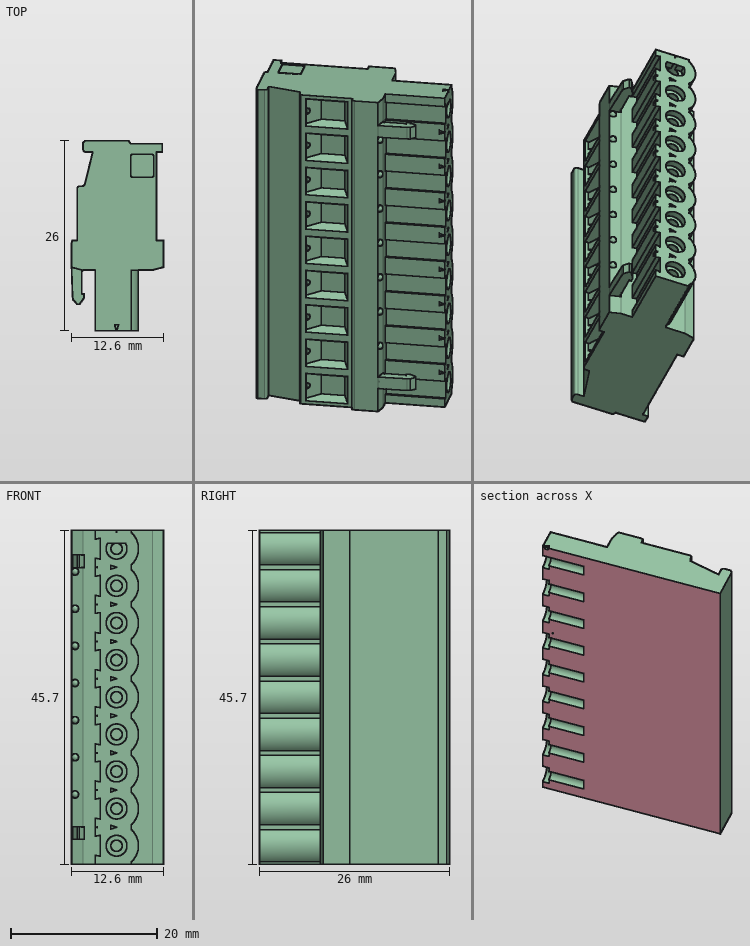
import cadquery as cq


pole_count = 9
pitch = 5.08
length = pole_count * pitch
pole_heights = [(i + 0.5) * pitch for i in range(pole_count)]
boundary_heights = [i * pitch for i in range(1, pole_count)]

width = 12.6
collar_top = 12.35
collar_bottom = 8.28
collar_slope_run = 1.55
collar_slope_rise = 0.37
collar_edge = 0.13
slope_top = collar_bottom + collar_slope_rise
collar_edge_top = slope_top + collar_edge / 2
collar_top_bevel_x = 0.1
collar_top_bevel_y = 0.35

total_height = 26.0
body_left = 0.78
body_right = 11.65
shoulder_y = 19.78
shoulder_chamfer = 0.2
shoulder_fillet = 0.4
slope_foot_x = 1.75
slope_head_x = 2.9

rail_left = 1.57
rail_right = 12.45
rail_bottom = 24.45
rail_step_x = 8.1
rail_step_y = 25.6
rail_top_chamfer = 0.28
rail_lower_fillet = 0.4

plug_left = 3.25
plug_right = 8.2
plug_overlap = 1.0
socket_x = 6.17
lobe_radius = 3.0
groove_depth = 0.66
groove_mouth = 2.6
groove_floor = 2.85

socket_diameter = 2.85
socket_depth = 0.9
contact_diameter = 1.55
contact_depth = 6.0
end_socket_flat = 0.72

funnel_depth = 1.35
funnel_lower = 13.03
funnel_upper = 18.9
funnel_width = 4.05
seat_lower = 13.7
seat_upper = 16.97
seat_width = 2.8
ramp_start_depth = 0.45
dimple_radius = 0.45
dimple_depth = 0.9

latch_width = 1.72
latch_offset = 4.26
latch_inner_x = 1.42
latch_flare = 0.2
hook_outer_x = 0.13
hook_inner_x = 1.75
hook_bevel_top = 4.7
hook_bevel_bottom = 4.25
hook_bevel_x = 0.2
hook_ledge_y = 5.05
hook_flank_y = 4.5
hook_tip_y = 3.6
hook_tip_left = 0.8
hook_tip_right = 1.1

bump_radius = 0.5
bump_y = 8.6
bump_offset = 0.6
arrow_base_x = 5.35
arrow_base_y = 0.8
arrow_length = 0.85
arrow_half_height = 0.27
arrow_depth = 0.3
badge_size = 3.13
badge_x = 9.68
badge_y = 22.57
badge_corner = 0.25
badge_depth = 0.1


def make_housing():
    """Body, rail and collar as one extruded outline."""
    left_side = [
        (collar_slope_run, collar_bottom),
        (collar_edge, slope_top),
        (0, collar_edge_top),
        (0, collar_top - collar_top_bevel_y),
        (collar_top_bevel_x, collar_top),
        (body_left, collar_top),
        (body_left, shoulder_y - shoulder_chamfer),
        (body_left + shoulder_chamfer, shoulder_y),
        (slope_foot_x, shoulder_y),
        (slope_head_x, rail_bottom),
    ]
    rail = [
        (rail_left, rail_bottom),
        (rail_left, total_height - rail_top_chamfer),
        (rail_left + rail_top_chamfer, total_height),
        (rail_step_x - rail_top_chamfer, total_height),
        (rail_step_x, rail_step_y),
        (rail_right, rail_step_y),
        (rail_right, rail_bottom),
    ]
    right_side = [
        (body_right, rail_bottom),
        (body_right, collar_top),
        (width, collar_top),
        (width, collar_edge_top),
        (width - collar_edge, slope_top),
        (width - collar_slope_run, collar_bottom),
    ]
    housing = cq.Workplane("XY").polyline(left_side + rail + right_side).close().extrude(length)
    housing = round_edge(housing, slope_foot_x, shoulder_y, shoulder_fillet)
    return round_edge(housing, rail_left, rail_bottom, rail_lower_fillet)


def round_edge(body, x, y, radius):
    """Fillet the full-length edge parallel to Z at (x, y)."""
    edge = cq.selectors.NearestToPointSelector((x, y, length / 2))
    return body.edges(edge).fillet(radius)


def make_plug():
    """Plug bar with one round lobe per pole and a groove opposite each lobe."""
    plug_height = collar_bottom + plug_overlap
    plug = cq.Workplane("XY").box(plug_right - plug_left, plug_height, length, centered=False)
    plug = plug.translate((plug_left, 0, 0))
    for z in pole_heights:
        plug = plug.union(along_y(lobe_radius, plug_height, z))
    slab = cq.Workplane("XY").box(width, plug_height, length, centered=False)
    plug = plug.intersect(slab.translate((plug_left, 0, 0)))
    for z in pole_heights:
        plug = plug.cut(make_groove(z))
    return plug


def make_groove(z):
    """Dovetail groove along Y, wider at its floor than at its mouth."""
    floor_x = plug_left + groove_depth
    return (
        cq.Workplane("XZ", origin=(0, 0, z))
        .moveTo(plug_left, -groove_mouth / 2)
        .lineTo(floor_x, -groove_floor / 2)
        .lineTo(floor_x, groove_floor / 2)
        .lineTo(plug_left, groove_mouth / 2)
        .close()
        .extrude(-collar_bottom)
    )


def along_y(radius, height, z):
    """Cylinder on a socket axis, running from the mating face along +Y."""
    return cq.Workplane("XZ", origin=(socket_x, 0, z)).circle(radius).extrude(-height)


def make_socket(z):
    """Stepped contact hole; the one in the last pole has a flat on its +Z side."""
    bore = along_y(socket_diameter / 2, socket_depth, z)
    if z == pole_heights[-1]:
        below_flat = cq.Workplane("XY").box(
            socket_diameter, socket_depth, socket_diameter, centered=(True, False, False)
        )
        bore = bore.intersect(below_flat.translate((socket_x, 0, z + end_socket_flat - socket_diameter)))
    return bore.union(along_y(contact_diameter / 2, contact_depth, z))


def make_funnel(z):
    """Tapered wire entry with a ramp at its +Y end and a small dimple in the ramp."""
    mouth_length = funnel_upper - funnel_lower
    floor_length = funnel_upper - seat_lower
    mouth_middle = (funnel_upper + funnel_lower) / 2
    floor_middle = (funnel_upper + seat_lower) / 2
    funnel = (
        cq.Workplane("YZ", origin=(body_left, mouth_middle, z))
        .rect(mouth_length, funnel_width)
        .workplane(offset=funnel_depth)
        .center(floor_middle - mouth_middle, 0)
        .rect(floor_length, seat_width)
        .loft()
    )
    floor_x = body_left + funnel_depth
    ramp = (
        cq.Workplane("XY", origin=(0, 0, z - funnel_width / 2))
        .moveTo(body_left + ramp_start_depth, funnel_upper)
        .lineTo(floor_x, funnel_upper)
        .lineTo(floor_x, seat_upper)
        .close()
        .extrude(funnel_width)
    )
    dimple = (
        cq.Workplane("YZ", origin=(body_left, funnel_upper, z))
        .moveTo(0, dimple_radius)
        .threePointArc((-dimple_radius, 0), (0, -dimple_radius))
        .close()
        .extrude(dimple_depth)
    )
    return funnel.cut(ramp).union(dimple)


def make_latch(z):
    """Hooked latch finger hanging from the collar."""
    latch_root_x = latch_inner_x + latch_flare
    return (
        cq.Workplane("XY", origin=(0, 0, z - latch_width / 2))
        .moveTo(latch_root_x, collar_edge_top)
        .lineTo(0, collar_edge_top)
        .lineTo(hook_outer_x, hook_bevel_top)
        .lineTo(hook_bevel_x, hook_bevel_bottom)
        .lineTo(hook_tip_left, hook_tip_y)
        .lineTo(hook_tip_right, hook_tip_y)
        .lineTo(hook_inner_x, hook_flank_y)
        .lineTo(hook_inner_x, hook_ledge_y)
        .lineTo(latch_inner_x, hook_ledge_y)
        .lineTo(latch_inner_x, collar_bottom - latch_flare)
        .lineTo(latch_root_x, collar_bottom)
        .close()
        .extrude(latch_width)
    )


def make_bump(z):
    """Rounded bump on the sloped underside of the collar."""
    return cq.Workplane("XY").sphere(bump_radius).translate((bump_radius, bump_y, z))


def make_arrow(base, direction, inward):
    """Small triangular recess from the middle of its base, pointing along direction."""
    return (
        cq.Workplane(cq.Plane(origin=base, xDir=direction, normal=inward))
        .moveTo(0, arrow_half_height)
        .lineTo(0, -arrow_half_height)
        .lineTo(arrow_length, 0)
        .close()
        .extrude(arrow_depth)
    )


def make_badge():
    """Shallow square recess with rounded corners in the +Z end face."""
    badge = cq.Workplane("XY").box(badge_size, badge_size, badge_depth, centered=(True, True, False))
    badge = badge.edges("|Z").fillet(badge_corner)
    return badge.translate((badge_x, badge_y, length - badge_depth))


result = make_housing().union(make_plug())
for pole_z in pole_heights:
    result = result.cut(make_socket(pole_z)).cut(make_funnel(pole_z))
for boundary_z in boundary_heights:
    front_arrow = make_arrow((arrow_base_x, 0, boundary_z), (1, 0, 0), (0, 1, 0))
    side_arrow = make_arrow((plug_left, arrow_base_y, boundary_z), (0, -1, 0), (1, 0, 0))
    result = result.cut(front_arrow).cut(side_arrow)
    result = result.union(make_bump(boundary_z - bump_offset))
for latch_z in (latch_offset, length - latch_offset):
    result = result.union(make_latch(latch_z))
end_arrow = make_arrow((socket_x, arrow_base_y, length), (0, -1, 0), (0, 0, -1))
result = result.cut(end_arrow).cut(make_badge())